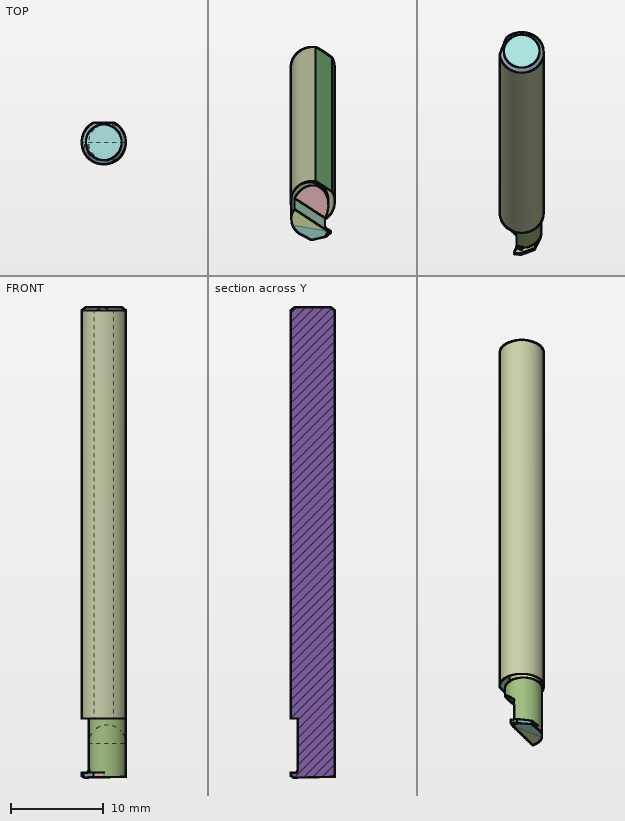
import cadquery as cq

length = 50.8
shank_radius = 2.4
flat_y = 2.15

chamfer_height = 0.35
chamfer_inset = 0.45

shank_bottom = 6.4
neck_radius = 2.005
neck_x = shank_radius - neck_radius
ramp_end = 3.7
rake_y = 0.0
end_relief = 0.1

tooth_top = 0.55
tooth_edge_x = -shank_radius
point_x = -2.05
corner_height = 0.2
root_rise = 0.3
root_run = 0.15
flank_x = -2.2
flank_y = -0.65
heel_x = -1.1
heel_y = -1.9


def make_shank():
    """Round shank with a flat and a chamfered upper end."""
    body_length = length - shank_bottom
    body = cq.Workplane("XY").workplane(offset=shank_bottom).circle(shank_radius).extrude(body_length)
    body = body.faces(">Z").chamfer(chamfer_height, chamfer_inset)
    keep = cq.Workplane("XY").box(
        2 * shank_radius, shank_radius + flat_y, length, centered=(True, False, False)
    )
    return body.intersect(keep.translate((0, -shank_radius, 0)))


def make_neck():
    """Half-round neck that swells to a full round up a 45 degree ramp."""
    bar = cq.Workplane("XY").center(neck_x, 0).circle(neck_radius).extrude(shank_bottom)
    ramp_run = shank_bottom - ramp_end
    profile = [
        (-neck_radius, 0),
        (rake_y, 0),
        (rake_y, ramp_end),
        (rake_y + ramp_run, shank_bottom),
        (-neck_radius, shank_bottom),
    ]
    keep = cq.Workplane("YZ").polyline(profile).close().extrude(shank_radius, both=True)
    return bar.intersect(keep)


def make_tooth():
    """Thin tooth with a relieved flank and a sloped root against the neck."""
    neck_left = neck_x - neck_radius
    root_inner_x = neck_left + root_run
    root_top = tooth_top + root_rise
    plan = [
        (tooth_edge_x, rake_y),
        (flank_x, flank_y),
        (heel_x, heel_y),
        (neck_x, -neck_radius),
        (neck_x, rake_y),
    ]
    tooth_profile = [
        (tooth_edge_x, corner_height),
        (point_x, 0),
        (neck_x, 0),
        (neck_x, tooth_top),
        (tooth_edge_x, tooth_top),
    ]
    root_profile = [
        (neck_left - root_run, tooth_top),
        (neck_left, root_top),
        (root_inner_x, root_top),
        (root_inner_x, tooth_top),
    ]
    blank = cq.Workplane("XY").polyline(plan).close().extrude(root_top)
    tooth = cq.Workplane("XZ").polyline(tooth_profile).close().extrude(neck_radius)
    root = cq.Workplane("XZ").polyline(root_profile).close().extrude(-flank_y)
    return blank.intersect(tooth.union(root))


def make_end_relief():
    """Wedges that lift the end face toward -Y and +X of the cutting point."""
    back_wedge = [(rake_y, 0), (-neck_radius, end_relief), (-neck_radius, 0)]
    side_wedge = [(point_x, 0), (shank_radius, end_relief), (shank_radius, 0)]
    back = cq.Workplane("YZ").polyline(back_wedge).close().extrude(shank_radius, both=True)
    side = cq.Workplane("XZ").polyline(side_wedge).close().extrude(neck_radius)
    return back.union(side)


result = make_shank().union(make_neck()).union(make_tooth()).cut(make_end_relief())